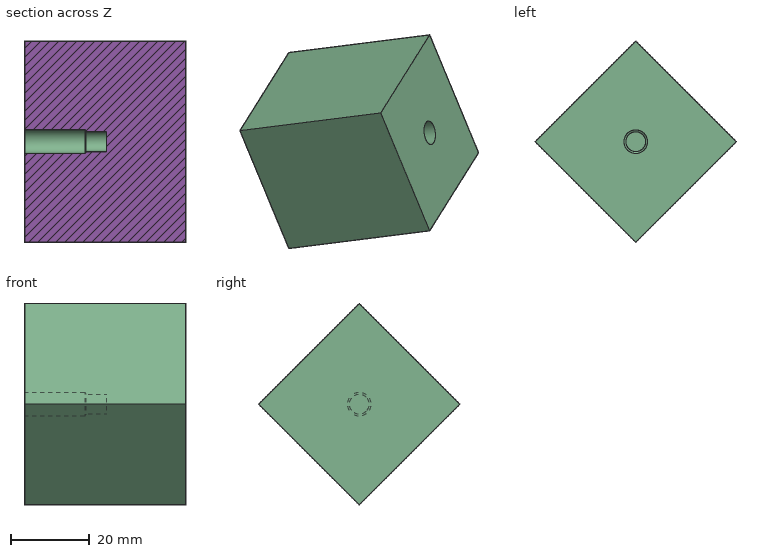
import cadquery as cq
import math

length = 41.0
diagonal = 51.2

mouth_diameter = 6.0
pilot_diameter = 5.0
mouth_depth = 15.35
pilot_length = 5.1
drill_point_angle = 118.0

mouth_radius = mouth_diameter / 2
pilot_radius = pilot_diameter / 2

shoulder_length = (mouth_radius - pilot_radius) / math.tan(math.radians(drill_point_angle / 2))
pilot_start = mouth_depth + shoulder_length
hole_depth = pilot_start + pilot_length


def square_bar():
    """Square prism centred on the origin, standing on one long edge."""
    return cq.Workplane("YZ").polygon(4, diagonal).extrude(length / 2, both=True)


def stepped_hole():
    """Half profile of the hole, revolved about X and moved to the -X end face."""
    return (
        cq.Workplane("XY")
        .lineTo(0, mouth_radius)
        .lineTo(mouth_depth, mouth_radius)
        .lineTo(pilot_start, pilot_radius)
        .lineTo(hole_depth, pilot_radius)
        .lineTo(hole_depth, 0)
        .close()
        .revolve(360, (0, 0, 0), (1, 0, 0))
        .translate((-length / 2, 0, 0))
    )


result = square_bar().cut(stepped_hole())